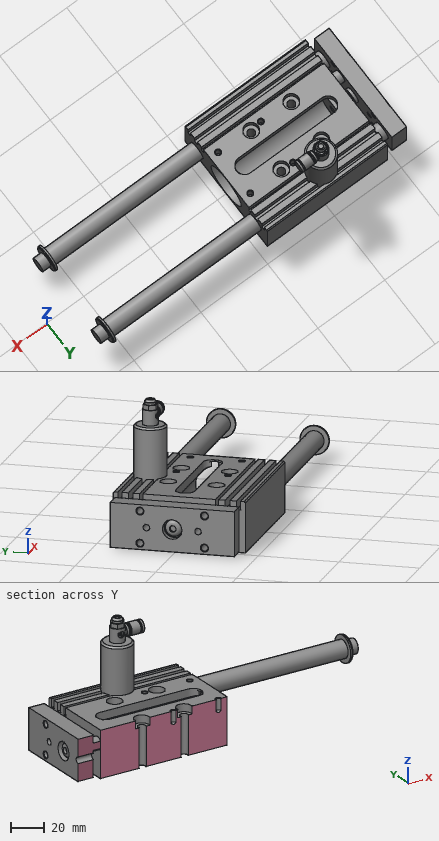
import cadquery as cq
import math

TOTAL_LENGTH = 225.0
TOTAL_HEIGHT = 79.26

HOUSING_X0 = 16.0
HOUSING_LENGTH = 90.0
HOUSING_WIDTH = 82.0
HOUSING_HEIGHT = 32.0
HOUSING_X1 = HOUSING_X0 + HOUSING_LENGTH
MID_Z = HOUSING_HEIGHT / 2
EDGE_CHAMFER = 0.8

GROOVES = [(22.5, 24.5), (28.5, 31.5), (35.5, 38.0)]
GROOVE_DEPTH = 5.5

BORE_DIA = 24.0
BORE_X0 = 26.5
BORE_END_DIA = 30.0
BORE_END_X0 = 97.6
SLOT_X0 = 24.0
SLOT_X1 = 98.0
SLOT_WIDTH = 11.6
SLOT_DEPTH = 5.6

MOUNT_X = (46.0, 76.0)
MOUNT_Y = 15.0
MOUNT_DIA = 5.2
MOUNT_HEAD_DIA = 10.0
MOUNT_HEAD_DEPTH = 5.2
TAPPED_X = (68.0, 100.0)
TAPPED_Y = 16.0
TAPPED_DEPTH = 8.0
TAPPED_CORE_DIA = 3.24
TAPPED_MOUTH_DIA = 4.13
DRILL_TIP_ANGLE = 118.0

ROD_Y = 29.0
ROD_RISE = 3.0
ROD_DIA = 12.0
RING_DIA = 18.0
RING_X0 = 217.0
RING_THICKNESS = 1.3
WASHER_DIA = 17.0
WASHER_THICKNESS = 0.7
STUB_DIA = 10.0

PLATE_THICKNESS = 11.0
PLATE_WIDTH = 77.0
PLATE_HEIGHT = 28.0
PLATE_TAPPED_Y = 20.0
PLATE_TAPPED_RISE = 10.0
PLATE_TAPPED_CORE_DIA = 4.13
PLATE_TAPPED_MOUTH_DIA = 4.92
PIN_HOLE_Y = 16.0
PIN_HOLE_DIA = 4.0

PISTON_ROD_DIA = 5.0
FLANGE_DIA = 10.5
FLANGE_THICKNESS = 2.0
SCREW_RECESS_DIA = 12.0
SCREW_RECESS_DEPTH = 4.0
SCREW_HEAD_HEIGHT = 2.8
SCREW_FACE_DIA = 5.2
SCREW_SOCKET_DIA = 4.0
SCREW_SOCKET_DEPTH = 1.8
BUMPER_Y = -12.5
BUMPER_Z = 22.3
BUMPER_DIA = 8.6

POST_X = 56.9
POST_Y = ROD_Y
POST_DIA = 20.0
POST_TOP = 63.7
POST_CHAMFER = 1.2
FITTING_DIA = 9.5
FITTING_TOP = 73.2
HEX_FLATS = 8.0
HEX_TOP = 76.2
NECK_DIA = 6.5
NECK_TOP = 77.7
CAP_DIA = 7.2
CAP_FACE_DIA = 5.0
CAP_RIM = 0.2
CAP_HOLE_DIA = 3.24
CAP_HOLE_DEPTH = 0.5
SIDE_HOLE_DIA = 4.02
SIDE_HOLE_DEPTH = 1.0
SIDE_BORE_DIA = 2.13
SIDE_BORE_DEPTH = 2.0
OUTLET_Z = 69.2
OUTLET_DIA = 8.4
OUTLET_NECK_DIA = 6.5
OUTLET_START = 6.4
OUTLET_GROOVES = (7.0, 14.4)
OUTLET_GROOVE_WIDTH = 0.8
OUTLET_GROOVE_DIA = 7.6
OUTLET_COLLAR_DIA = 7.4
OUTLET_LENGTH = 16.8


def block(x0, x1, width, z0, z1):
    """Box centred on Y."""
    return cq.Workplane("XY").box(x1 - x0, width, z1 - z0, centered=(False, True, False)).translate((x0, 0, z0))


def bar_x(x0, x1, y, z, dia):
    """Round bar along X."""
    return cq.Workplane("YZ", origin=(x0, y, z)).circle(dia / 2).extrude(x1 - x0)


def bar_z(x, y, z0, z1, dia):
    """Round bar along Z."""
    return cq.Workplane("XY", origin=(x, y, z0)).circle(dia / 2).extrude(z1 - z0)


def guide_rod_places():
    """(y, z) of the two guide rods."""
    return [(side * ROD_Y, MID_Z + side * ROD_RISE) for side in (-1, 1)]


def tapped_hole():
    """Blind hole going down from the origin: countersunk mouth and drill tip."""
    core = TAPPED_CORE_DIA / 2
    mouth = TAPPED_MOUTH_DIA / 2
    tip = core / math.tan(math.radians(DRILL_TIP_ANGLE / 2))
    profile = [
        (0, 0),
        (mouth, 0),
        (core, core - mouth),
        (core, -TAPPED_DEPTH),
        (0, -TAPPED_DEPTH - tip),
    ]
    return cq.Workplane("XZ").polyline(profile).close().revolve(360, (0, 0, 0), (0, 1, 0))


def make_housing_block():
    body = block(HOUSING_X0, HOUSING_X1, HOUSING_WIDTH, 0, HOUSING_HEIGHT)
    body = body.faces(">Z").edges("|X").chamfer(EDGE_CHAMFER)
    for inner, outer in GROOVES:
        for side in (-1, 1):
            groove = block(HOUSING_X0, HOUSING_X1, outer - inner, HOUSING_HEIGHT - GROOVE_DEPTH, HOUSING_HEIGHT)
            body = body.cut(groove.translate((0, side * (inner + outer) / 2, 0)))
    return body


def cut_cylinder_bore(body):
    slot = (
        cq.Workplane("XY", origin=((SLOT_X0 + SLOT_X1) / 2, 0, HOUSING_HEIGHT))
        .slot2D(SLOT_X1 - SLOT_X0, SLOT_WIDTH)
        .extrude(-SLOT_DEPTH)
    )
    body = body.cut(slot)
    body = body.cut(bar_x(BORE_X0, HOUSING_X1, 0, MID_Z, BORE_DIA))
    body = body.cut(bar_x(BORE_END_X0, HOUSING_X1, 0, MID_Z, BORE_END_DIA))
    return body.cut(bar_x(HOUSING_X0, BORE_X0, 0, MID_Z, PISTON_ROD_DIA))


def cut_housing_holes(body):
    for side in (-1, 1):
        for x in MOUNT_X:
            y = side * MOUNT_Y
            body = body.cut(bar_z(x, y, 0, HOUSING_HEIGHT, MOUNT_DIA))
            body = body.cut(bar_z(x, y, HOUSING_HEIGHT - MOUNT_HEAD_DEPTH, HOUSING_HEIGHT, MOUNT_HEAD_DIA))
        for x in TAPPED_X:
            body = body.cut(tapped_hole().translate((x, side * TAPPED_Y, HOUSING_HEIGHT)))
    for y, z in guide_rod_places():
        body = body.cut(bar_x(HOUSING_X0, HOUSING_X1, y, z, ROD_DIA))
    return body


def make_post():
    post = bar_z(POST_X, POST_Y, HOUSING_HEIGHT - GROOVE_DEPTH, POST_TOP, POST_DIA)
    return post.faces(">Z").chamfer(POST_CHAMFER)


def make_fitting_column():
    """Upright part of the elbow fitting: barrel, hexagon, neck and cap."""
    barrel = bar_z(POST_X, POST_Y, POST_TOP, FITTING_TOP, FITTING_DIA)
    hexagon = (
        cq.Workplane("XY", origin=(POST_X, POST_Y, FITTING_TOP))
        .polygon(6, HEX_FLATS / math.cos(math.pi / 6))
        .extrude(HEX_TOP - FITTING_TOP)
    )
    neck = bar_z(POST_X, POST_Y, HEX_TOP, NECK_TOP, NECK_DIA)
    profile = [
        (0, NECK_TOP),
        (CAP_DIA / 2, NECK_TOP),
        (CAP_DIA / 2, NECK_TOP + CAP_RIM),
        (CAP_FACE_DIA / 2, TOTAL_HEIGHT),
        (0, TOTAL_HEIGHT),
    ]
    cap = cq.Workplane("XZ").polyline(profile).close().revolve(360, (0, 0, 0), (0, 1, 0))
    column = barrel.union(hexagon).union(neck).union(cap.translate((POST_X, POST_Y, 0)))
    column = column.cut(bar_z(POST_X, POST_Y, TOTAL_HEIGHT - CAP_HOLE_DEPTH, TOTAL_HEIGHT, CAP_HOLE_DIA))
    side_face_y = POST_Y - FITTING_DIA / 2
    for dia, depth in [(SIDE_HOLE_DIA, SIDE_HOLE_DEPTH), (SIDE_BORE_DIA, SIDE_BORE_DEPTH)]:
        hole = cq.Workplane("XZ", origin=(POST_X, side_face_y, OUTLET_Z)).circle(dia / 2).extrude(-depth)
        column = column.cut(hole)
    return column


def make_outlet():
    """Sideways part of the elbow fitting, pointing to +X."""
    outlet = bar_x(POST_X, POST_X + OUTLET_LENGTH, POST_Y, OUTLET_Z, OUTLET_NECK_DIA)
    collar = bar_x(POST_X + FITTING_DIA / 2, POST_X + OUTLET_START, POST_Y, OUTLET_Z, OUTLET_COLLAR_DIA)
    sleeve = bar_x(POST_X + OUTLET_START, POST_X + OUTLET_LENGTH, POST_Y, OUTLET_Z, OUTLET_DIA)
    for start in OUTLET_GROOVES:
        x0 = POST_X + start
        x1 = x0 + OUTLET_GROOVE_WIDTH
        ring = bar_x(x0, x1, POST_Y, OUTLET_Z, OUTLET_DIA)
        sleeve = sleeve.cut(ring.cut(bar_x(x0, x1, POST_Y, OUTLET_Z, OUTLET_GROOVE_DIA)))
    return outlet.union(collar).union(sleeve)


def make_housing():
    body = make_housing_block().union(make_post())
    body = cut_cylinder_bore(body)
    body = cut_housing_holes(body)
    return body.union(make_fitting_column()).union(make_outlet())


def plate_tapped_hole(y, z):
    """Through hole along X with a 45 degree countersink in the front face of the plate."""
    core = PLATE_TAPPED_CORE_DIA / 2
    mouth = PLATE_TAPPED_MOUTH_DIA / 2
    profile = [
        (0, 0),
        (0, mouth),
        (mouth - core, core),
        (PLATE_THICKNESS, core),
        (PLATE_THICKNESS, 0),
    ]
    hole = cq.Workplane("XY").polyline(profile).close().revolve(360, (0, 0, 0), (1, 0, 0))
    return hole.translate((0, y, z))


def make_plate():
    plate = block(0, PLATE_THICKNESS, PLATE_WIDTH, MID_Z - PLATE_HEIGHT / 2, MID_Z + PLATE_HEIGHT / 2)
    for side in (-1, 1):
        plate = plate.cut(bar_x(0, PLATE_THICKNESS, side * PIN_HOLE_Y, MID_Z, PIN_HOLE_DIA))
        for rise in (-PLATE_TAPPED_RISE, PLATE_TAPPED_RISE):
            plate = plate.cut(plate_tapped_hole(side * PLATE_TAPPED_Y, MID_Z + rise))
    return plate.cut(bar_x(0, SCREW_RECESS_DEPTH, 0, MID_Z, SCREW_RECESS_DIA))


def make_screw_head():
    """Domed screw head with a round socket, standing in the plate recess."""
    face_x = SCREW_RECESS_DEPTH - SCREW_HEAD_HEIGHT
    face_r = SCREW_FACE_DIA / 2
    rim_r = FLANGE_DIA / 2
    mid_r = face_r + (rim_r - face_r) * math.sin(math.pi / 4)
    mid_x = SCREW_RECESS_DEPTH - SCREW_HEAD_HEIGHT * math.sin(math.pi / 4)
    head = (
        cq.Workplane("XY")
        .moveTo(SCREW_RECESS_DEPTH, 0)
        .lineTo(face_x, 0)
        .lineTo(face_x, face_r)
        .threePointArc((mid_x, mid_r), (SCREW_RECESS_DEPTH, rim_r))
        .close()
        .revolve(360, (0, 0, 0), (1, 0, 0))
        .translate((0, 0, MID_Z))
    )
    return head.cut(bar_x(face_x, face_x + SCREW_SOCKET_DEPTH, 0, MID_Z, SCREW_SOCKET_DIA))


def make_guide_rod(y, z):
    rod = bar_x(PLATE_THICKNESS, RING_X0, y, z, ROD_DIA)
    ring_end = RING_X0 + RING_THICKNESS
    ring = bar_x(RING_X0, ring_end, y, z, RING_DIA)
    washer = bar_x(ring_end, ring_end + WASHER_THICKNESS, y, z, WASHER_DIA)
    stub = bar_x(RING_X0, TOTAL_LENGTH, y, z, STUB_DIA)
    return rod.union(ring).union(washer).union(stub)


def make_slide():
    slide = make_plate().union(make_screw_head())
    for y, z in guide_rod_places():
        slide = slide.union(make_guide_rod(y, z))
    flange_end = PLATE_THICKNESS + FLANGE_THICKNESS
    slide = slide.union(bar_x(PLATE_THICKNESS, flange_end, 0, MID_Z, FLANGE_DIA))
    slide = slide.union(bar_x(flange_end, BORE_X0, 0, MID_Z, PISTON_ROD_DIA))
    return slide.union(bar_x(PLATE_THICKNESS, HOUSING_X0, BUMPER_Y, BUMPER_Z, BUMPER_DIA))


housing = make_housing()
slide = make_slide()
result = cq.Compound.makeCompound([housing.val(), slide.val()])